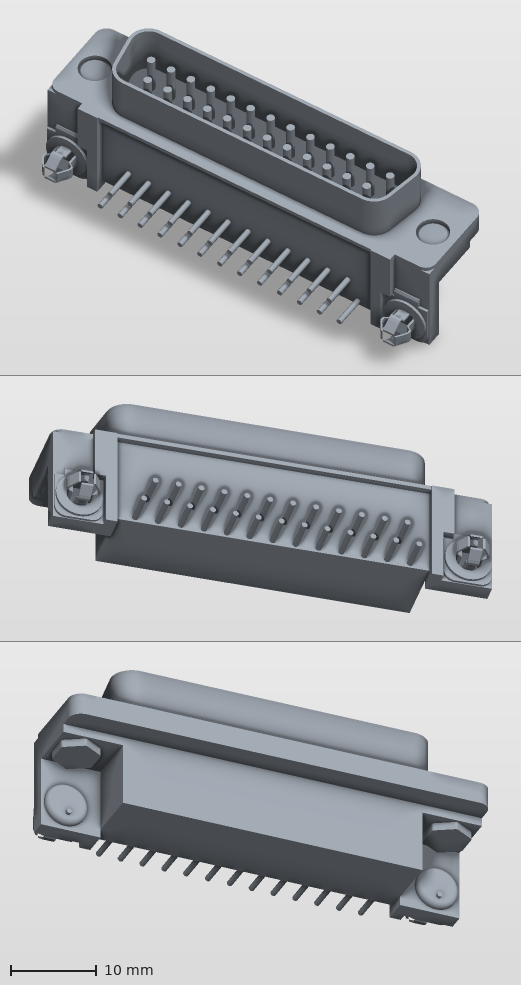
import cadquery as cq
import math


OVERALL_DEPTH = 15.81
FLANGE_LENGTH = 53.09
FLANGE_BACK_Y = 6.27
FLANGE_CORNER_RADIUS = 1.6
FLANGE_THICKNESS = 2.75
BRACKET_FRONT_Y = -5.42
BRACKET_BACK_Y = 3.2
BRACKET_BACK_Z = -3.82
LEG_BACK_Y = -3.35
BOTTOM_Z = -12.75
FACE_PLATE_THICKNESS = 0.53
FACE_PLATE_CORNER = 1.4

BODY_HALF_LENGTH = 19.0
BODY_BOTTOM_Z = -11.65
LIP_FRONT_Y = -6.27
COLUMN_FRONT_Y = -6.4
COLUMN_OUTER_X = 21.72
COLUMN_LOWER_OUTER_X = 20.4
COLUMN_STEP_Z = -6.44

SHELL_HEIGHT = 5.85
SHELL_HALF_LENGTH = 19.98
SHELL_HALF_WIDTH = 4.65
SHELL_CORNER_RADIUS = 2.6
SHELL_SIDE_ANGLE = math.radians(10)
SHELL_WALL = 0.45

PIN_PITCH = 2.77
LONG_ROW_COUNT = 13
SHORT_ROW_COUNT = 12
PIN_ROW_Y = 1.42
CONTACT_DIAMETER = 1.0
CONTACT_TOP_Z = 4.3
TAIL_DIAMETER = 0.7
LONG_ROW_TAIL_Z = -11.05
SHORT_ROW_TAIL_Z = -8.2
TAIL_END_Y = -9.42

MOUNT_X = 23.52
MOUNT_HOLE_RADIUS = 2.0
MOUNT_HOLE_DEPTH = 0.7
INSERT_BASE_RADIUS = 1.95
INSERT_TOP_RADIUS = 1.65
INSERT_TOP_Z = -0.38
NUT_ACROSS_CORNERS = 5.8
NUT_CORNER_RADIUS = 0.38
NUT_THICKNESS = 0.98

LOCK_Z = -9.58
LOCK_PLATE_THICKNESS = 0.33
LOCK_PLATE_WIDTH = 5.8
LOCK_PLATE_BOTTOM_Z = -12.68
LOCK_PLATE_CORNER_RADIUS = 1.4
LOCK_PLATE_TOP_Z = -6.8
LOCK_TAB_WIDTH = 3.4
LOCK_TAB_TOP_Z = -5.68
LOCK_TAB_CHAMFER_HEIGHT = 0.32
LOCK_TAB_CHAMFER_DEPTH = 0.2
LOCK_DISC_RADIUS = 2.82
LOCK_DISC_FRONT_Y = -6.1
LOCK_BORE_RADIUS = 1.55
RIVET_RADIUS = 2.67
RIVET_BACK_Y = -2.5
RIVET_EDGE_RADIUS = 0.6
RIVET_STUB_DIAMETER = 0.65
RIVET_STUB_BACK_Y = -2.05
RIVET_STUB_Z = -10.9
PRONG_COUNT = 4
PRONG_WIDTH = 1.45
PRONG_THICKNESS = 0.27
PRONG_ROOT_RADIUS = 1.4
PRONG_BEND_Y = -7.3
PRONG_BULGE_RADIUS = 2.0
PRONG_BULGE_START_Y = -7.7
PRONG_BULGE_END_Y = -8.1
PRONG_SHOULDER_RADIUS = 1.82
PRONG_SHOULDER_Y = -8.45
PRONG_TIP_RADIUS = 1.05
PRONG_TIP_Y = FLANGE_BACK_Y - OVERALL_DEPTH

OVERLAP = 0.2


def box(x_range, y_range, z_range):
    """Block between two limits on each axis."""
    lengths = [abs(b - a) for a, b in (x_range, y_range, z_range)]
    lows = [min(limits) for limits in (x_range, y_range, z_range)]
    return cq.Workplane("XY").box(*lengths, centered=False).translate(tuple(lows))


def y_cylinder(x, z, radius, y_start, y_end):
    """Cylinder along Y between two limits."""
    low = min(y_start, y_end)
    solid = cq.Solid.makeCylinder(radius, abs(y_end - y_start), cq.Vector(x, low, z), cq.Vector(0, 1, 0))
    return cq.Workplane(obj=solid)


def both_ends(piece):
    """The piece together with its mirror image at the other end of the connector."""
    return piece.union(piece.mirror("YZ"))


def make_brackets_and_flange():
    half = FLANGE_LENGTH / 2
    bracket_outline = [
        (BRACKET_FRONT_Y, 0),
        (FLANGE_BACK_Y, 0),
        (FLANGE_BACK_Y, -FLANGE_THICKNESS),
        (BRACKET_BACK_Y, -FLANGE_THICKNESS),
        (BRACKET_BACK_Y, BRACKET_BACK_Z),
        (LEG_BACK_Y, BRACKET_BACK_Z),
        (LEG_BACK_Y, BOTTOM_Z),
        (BRACKET_FRONT_Y, BOTTOM_Z),
    ]
    bracket = (
        cq.Workplane("YZ").polyline(bracket_outline).close()
        .extrude(half - BODY_HALF_LENGTH).translate((BODY_HALF_LENGTH, 0, 0))
    )
    x_span = (-BODY_HALF_LENGTH, BODY_HALF_LENGTH)
    flange = box(x_span, (BRACKET_FRONT_Y, FLANGE_BACK_Y), (-FLANGE_THICKNESS, 0))
    flange = flange.union(both_ends(bracket))
    flange = flange.edges("|Z and >Y").fillet(FLANGE_CORNER_RADIUS)

    corner_x = half - FACE_PLATE_CORNER
    corner_y = BRACKET_FRONT_Y + FACE_PLATE_CORNER
    corner = box((corner_x, half), (BRACKET_FRONT_Y, corner_y), (-FACE_PLATE_THICKNESS, 0))
    round_part = (
        cq.Workplane("XY").center(corner_x, corner_y)
        .circle(FACE_PLATE_CORNER).extrude(-FACE_PLATE_THICKNESS)
    )
    return flange.cut(both_ends(corner.cut(round_part)))


def make_body():
    x_span = (-BODY_HALF_LENGTH, BODY_HALF_LENGTH)
    block = box(x_span, (BRACKET_FRONT_Y, BRACKET_BACK_Y), (BODY_BOTTOM_Z, 0))
    lip = box(x_span, (LIP_FRONT_Y, 0), (-FACE_PLATE_THICKNESS, 0))
    return block.union(lip)


def make_columns():
    y_span = (COLUMN_FRONT_Y, BRACKET_FRONT_Y + OVERLAP)
    upper = box((BODY_HALF_LENGTH, COLUMN_OUTER_X), y_span, (COLUMN_STEP_Z, 0))
    lower = box((BODY_HALF_LENGTH, COLUMN_LOWER_OUTER_X), y_span, (BOTTOM_Z, 0))
    return both_ends(upper.union(lower))


def make_shell_prism(inset, bottom_z):
    """Rounded trapezoid of the shell, shrunk by an inset, from a level up to the shell's rim."""
    arc_center_x = SHELL_HALF_LENGTH - SHELL_CORNER_RADIUS
    half_width = SHELL_HALF_WIDTH - inset
    corner_radius = SHELL_CORNER_RADIUS - inset
    half_corner_angle = (math.pi / 2 - SHELL_SIDE_ANGLE) / 2
    long_half = arc_center_x + corner_radius / math.tan(half_corner_angle)
    short_half = long_half - 2 * half_width * math.tan(SHELL_SIDE_ANGLE)
    outline = [
        (-long_half, half_width),
        (long_half, half_width),
        (short_half, -half_width),
        (-short_half, -half_width),
    ]
    return (
        cq.Workplane("XY", origin=(0, 0, bottom_z)).polyline(outline).close()
        .extrude(SHELL_HEIGHT - bottom_z).edges("|Z").fillet(corner_radius)
    )


def add_contact_row(part, count, row_y, tail_z):
    """Adds one row of contacts with the board tails that belong to them."""
    contact_base_z = -FACE_PLATE_THICKNESS - OVERLAP
    for index in range(count):
        x = (index - (count - 1) / 2) * PIN_PITCH
        contact = (
            cq.Workplane("XY", origin=(x, row_y, contact_base_z))
            .circle(CONTACT_DIAMETER / 2).extrude(CONTACT_TOP_Z - contact_base_z)
        )
        tail = y_cylinder(x, tail_z, TAIL_DIAMETER / 2, TAIL_END_Y, BRACKET_FRONT_Y + OVERLAP)
        part = part.union(contact).union(tail)
    return part


def make_mounting_holes():
    """Shallow holes to cut, each leaving the tapered end of an insert standing on its floor."""
    hole = cq.Workplane("XY", origin=(MOUNT_X, 0, 0)).circle(MOUNT_HOLE_RADIUS).extrude(-MOUNT_HOLE_DEPTH)
    insert = (
        cq.Workplane("XY", origin=(MOUNT_X, 0, -MOUNT_HOLE_DEPTH)).circle(INSERT_BASE_RADIUS)
        .workplane(offset=MOUNT_HOLE_DEPTH + INSERT_TOP_Z).circle(INSERT_TOP_RADIUS).loft()
    )
    return both_ends(hole.cut(insert))


def make_nuts():
    nut = (
        cq.Workplane("XY", origin=(MOUNT_X, 0, BRACKET_BACK_Z + OVERLAP))
        .transformed(rotate=(0, 0, 90)).polygon(6, NUT_ACROSS_CORNERS)
        .extrude(-NUT_THICKNESS - OVERLAP).edges("|Z").fillet(NUT_CORNER_RADIUS)
    )
    return both_ends(nut)


def make_prong():
    """Spring prong bent outward and back in, standing above the Y axis."""
    plate_front_y = BRACKET_FRONT_Y - LOCK_PLATE_THICKNESS
    outer_path = [
        (plate_front_y + OVERLAP, PRONG_ROOT_RADIUS),
        (PRONG_BEND_Y, PRONG_ROOT_RADIUS),
        (PRONG_BULGE_START_Y, PRONG_BULGE_RADIUS),
        (PRONG_BULGE_END_Y, PRONG_BULGE_RADIUS),
        (PRONG_SHOULDER_Y, PRONG_SHOULDER_RADIUS),
        (PRONG_TIP_Y, PRONG_TIP_RADIUS),
    ]
    inner_path = [(y, radius - PRONG_THICKNESS) for y, radius in reversed(outer_path)]
    return cq.Workplane("YZ").polyline(outer_path + inner_path).close().extrude(PRONG_WIDTH / 2, both=True)


def make_board_locks():
    plate_front_y = BRACKET_FRONT_Y - LOCK_PLATE_THICKNESS
    plate_y = (plate_front_y, BRACKET_FRONT_Y + OVERLAP)
    half_plate = LOCK_PLATE_WIDTH / 2
    half_tab = LOCK_TAB_WIDTH / 2
    plate_x = (MOUNT_X - half_plate, MOUNT_X + half_plate)
    lock = box(plate_x, plate_y, (LOCK_PLATE_BOTTOM_Z, LOCK_PLATE_TOP_Z))
    lock = lock.edges("|Y and <Z").fillet(LOCK_PLATE_CORNER_RADIUS)
    tab = box((MOUNT_X - half_tab, MOUNT_X + half_tab), plate_y, (LOCK_Z, LOCK_TAB_TOP_Z))
    tab_edge = tab.faces(">Z").edges("<Y")
    lock = lock.union(tab_edge.chamfer(LOCK_TAB_CHAMFER_HEIGHT, LOCK_TAB_CHAMFER_DEPTH))

    disc = y_cylinder(MOUNT_X, LOCK_Z, LOCK_DISC_RADIUS, LOCK_DISC_FRONT_Y, BRACKET_FRONT_Y)
    bore = y_cylinder(MOUNT_X, LOCK_Z, LOCK_BORE_RADIUS, LOCK_DISC_FRONT_Y, plate_front_y)
    lock = lock.union(disc).cut(bore)

    prong = make_prong()
    for index in range(PRONG_COUNT):
        turned = prong.rotate((0, 0, 0), (0, 1, 0), index * 360 / PRONG_COUNT)
        lock = lock.union(turned.translate((MOUNT_X, 0, LOCK_Z)))

    rivet = y_cylinder(MOUNT_X, LOCK_Z, RIVET_RADIUS, LEG_BACK_Y - OVERLAP, RIVET_BACK_Y)
    rivet = rivet.faces(">Y").edges().fillet(RIVET_EDGE_RADIUS)
    stub = y_cylinder(MOUNT_X, RIVET_STUB_Z, RIVET_STUB_DIAMETER / 2, LEG_BACK_Y, RIVET_STUB_BACK_Y)
    return both_ends(lock.union(rivet).union(stub))


result = make_brackets_and_flange().union(make_body()).union(make_columns())
result = result.cut(make_mounting_holes()).union(make_nuts())
result = result.union(make_shell_prism(0, -OVERLAP))
result = result.cut(make_shell_prism(SHELL_WALL, -FACE_PLATE_THICKNESS))
result = result.union(make_board_locks())
result = add_contact_row(result, LONG_ROW_COUNT, PIN_ROW_Y, LONG_ROW_TAIL_Z)
result = add_contact_row(result, SHORT_ROW_COUNT, -PIN_ROW_Y, SHORT_ROW_TAIL_Z)